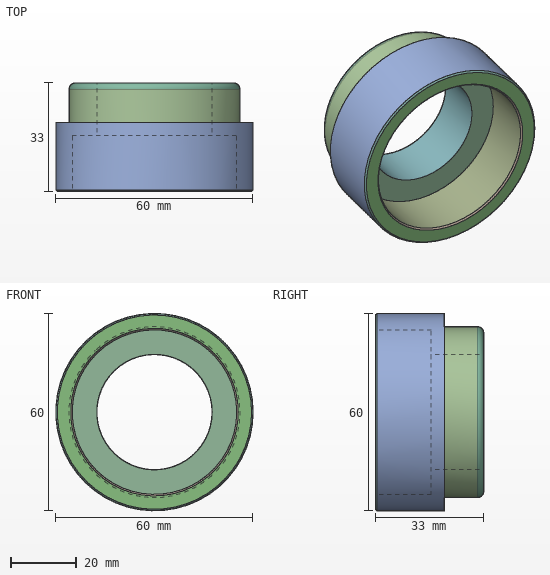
import cadquery as cq

outer_diameter = 60.0
total_length = 33.0
collar_length = 21.0
spigot_diameter = 52.0
spigot_length = total_length - collar_length

socket_diameter = 50.0
socket_depth = 17.0
through_diameter = 35.0

front_chamfer = 0.5
spigot_fillet = 2.0


def cylinder_along_y(diameter, start, length):
    """Cylinder on the Y axis, extending towards +Y from start."""
    base = cq.Workplane("XZ", origin=(0, start, 0))
    return base.circle(diameter / 2).extrude(-length)


collar = cylinder_along_y(outer_diameter, 0, collar_length)
collar = collar.faces("<Y").edges().chamfer(front_chamfer)

spigot = cylinder_along_y(spigot_diameter, collar_length, spigot_length)
spigot = spigot.faces(">Y").edges().fillet(spigot_fillet)

body = collar.union(spigot)
body = body.cut(cylinder_along_y(through_diameter, 0, total_length))
body = body.cut(cylinder_along_y(socket_diameter, 0, socket_depth))

inner_edge = cq.selectors.RadiusNthSelector(0)
result = body.faces("<Y").edges(inner_edge).chamfer(front_chamfer)